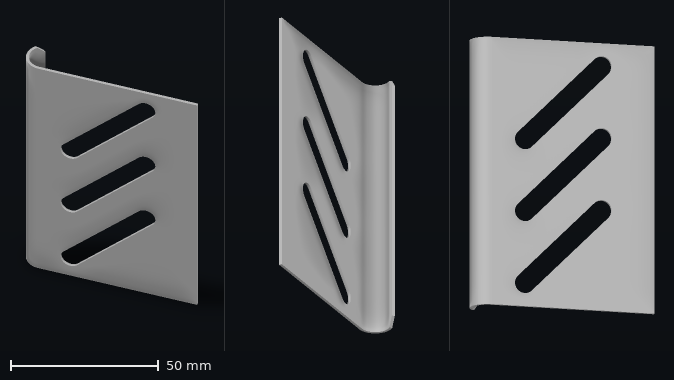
import cadquery as cq
import math

height = 93.0
width = 63.0
thickness = 1.0

bend_radius = 6.0
bend_angle = 135.0
lip_length = 3.1
corner_cut = 3.1

slot_count = 3
slot_pitch = 25.0
slot_width = 6.9
slot_rise = 27.0
slot_angle = 45.0
slot_center_x = 31.1


def bend_point(radius, angle):
    """Point on the bend, with the angle counted from the flat plate."""
    turn = math.radians(angle)
    return (bend_radius - radius * math.sin(turn), bend_radius - radius * math.cos(turn))


def lip_point(radius, distance):
    """Point on the lip at a distance past the end of the bend."""
    x, y = bend_point(radius, bend_angle)
    turn = math.radians(bend_angle)
    return (x - distance * math.cos(turn), y + distance * math.sin(turn))


def make_sheet():
    """Constant-thickness profile extruded over the full height."""
    inner_radius = bend_radius - thickness
    return (
        cq.Workplane("XY", origin=(0, 0, -height / 2))
        .moveTo(width, 0)
        .lineTo(*bend_point(bend_radius, 0))
        .threePointArc(bend_point(bend_radius, bend_angle / 2), bend_point(bend_radius, bend_angle))
        .lineTo(*lip_point(bend_radius, lip_length))
        .lineTo(*lip_point(inner_radius, lip_length))
        .lineTo(*bend_point(inner_radius, bend_angle))
        .threePointArc(bend_point(inner_radius, bend_angle / 2), bend_point(inner_radius, 0))
        .lineTo(width, thickness)
        .close()
        .extrude(height)
    )


def make_slots():
    """Slot cutters passing through the flat plate."""
    slot_length = slot_rise / math.sin(math.radians(slot_angle)) + slot_width
    centers = [(slot_center_x, (i - (slot_count - 1) / 2) * slot_pitch) for i in range(slot_count)]
    return (
        cq.Workplane("XZ", origin=(0, thickness, 0))
        .pushPoints(centers)
        .slot2D(slot_length, slot_width, slot_angle)
        .extrude(thickness)
    )


def trim_lip_corners(sheet):
    """Cut the two free corners of the lip, starting at the end of the bend."""
    lip_start = bend_point(bend_radius, bend_angle)
    turn = math.radians(bend_angle)
    lip_plane = cq.Plane(
        origin=(lip_start[0], lip_start[1], 0),
        xDir=(-math.cos(turn), math.sin(turn), 0),
        normal=(math.sin(turn), math.cos(turn), 0),
    )
    for side in (-1, 1):
        edge = side * height / 2
        corner = (
            cq.Workplane(lip_plane)
            .polyline([(0, edge), (lip_length, edge), (lip_length, edge - side * corner_cut)])
            .close()
            .extrude(thickness, both=True)
        )
        sheet = sheet.cut(corner)
    return sheet


result = trim_lip_corners(make_sheet()).cut(make_slots())